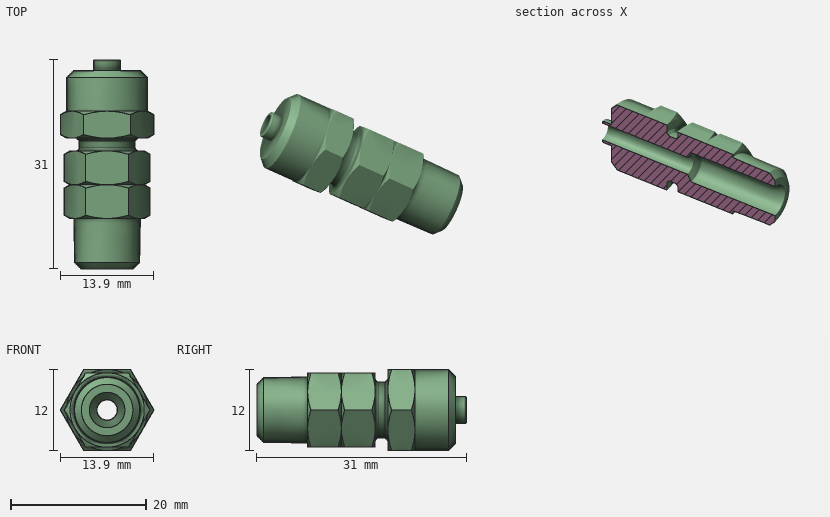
import cadquery as cq
import math

HEX_SIDES = 6
BODY_HEX_FLATS = 11.0
NUT_HEX_FLATS = 12.0
HEX_CHAMFER_ANGLE = 30.0
HEX_CLEARANCE = 1.0

SPIGOT_LENGTH = 7.5
BODY_HEX_LENGTH = 5.0
BODY_HEX_COUNT = 2
NECK_LENGTH = 1.89
NUT_HEX_LENGTH = 4.0
NUT_SLEEVE_LENGTH = 6.0
BARB_LENGTH = 1.6

body_hex_end = SPIGOT_LENGTH + BODY_HEX_COUNT * BODY_HEX_LENGTH
nut_start = body_hex_end + NECK_LENGTH
sleeve_start = nut_start + NUT_HEX_LENGTH
sleeve_end = sleeve_start + NUT_SLEEVE_LENGTH
barb_end = sleeve_end + BARB_LENGTH

SPIGOT_ROOT_DIAMETER = 9.85
SPIGOT_RIM_DIAMETER = 9.62
SPIGOT_CHAMFER = 1.0
NECK_DIAMETER = 8.3
NECK_FILLET = 0.5
NECK_FLARE = 0.4
SLEEVE_CHAMFER = 1.05
BARB_DIAMETER = 4.0
BARB_FILLET = 0.2

THROUGH_DIAMETER = 3.0
COUNTERBORE_DIAMETER = 5.25
COUNTERBORE_DEPTH = 15.0
DRILL_POINT_ANGLE = 118.0


def revolve_profile(profile):
    """Turn a closed (radius, axial) profile about the Y axis."""
    return profile.close().revolve(360, (0, 0, 0), (0, 1, 0))


def cylinder(diameter, start, end):
    return cq.Workplane("XZ", origin=(0, start, 0)).circle(diameter / 2).extrude(start - end)


def chamfered_hex(flats, start, end):
    """Hexagonal prism with flats facing +/-Z and both ends turned down to the flat width."""
    corner_diameter = flats / math.cos(math.pi / HEX_SIDES)
    prism = (
        cq.Workplane("XZ", origin=(0, start, 0))
        .polygon(HEX_SIDES, corner_diameter)
        .extrude(start - end)
    )
    radius = flats / 2
    outer = corner_diameter / 2 + HEX_CLEARANCE
    drop = (outer - radius) * math.tan(math.radians(HEX_CHAMFER_ANGLE))
    envelope = revolve_profile(
        cq.Workplane("XY")
        .moveTo(0, start)
        .lineTo(radius, start)
        .lineTo(outer, start + drop)
        .lineTo(outer, end - drop)
        .lineTo(radius, end)
        .lineTo(0, end)
    )
    return prism.intersect(envelope)


def tapered_spigot():
    root = SPIGOT_ROOT_DIAMETER / 2
    rim = SPIGOT_RIM_DIAMETER / 2
    return revolve_profile(
        cq.Workplane("XY")
        .lineTo(rim - SPIGOT_CHAMFER, 0)
        .lineTo(rim, SPIGOT_CHAMFER)
        .lineTo(root, SPIGOT_LENGTH)
        .lineTo(0, SPIGOT_LENGTH)
    )


def neck():
    """Neck with a concave fillet at the body and a 45 degree flare into the nut."""
    radius = NECK_DIAMETER / 2
    fillet_rim = radius + NECK_FILLET
    arc_offset = NECK_FILLET * (1 - math.sqrt(0.5))
    return revolve_profile(
        cq.Workplane("XY")
        .moveTo(0, body_hex_end)
        .lineTo(fillet_rim, body_hex_end)
        .threePointArc(
            (radius + arc_offset, body_hex_end + arc_offset),
            (radius, body_hex_end + NECK_FILLET),
        )
        .lineTo(radius, nut_start - NECK_FLARE)
        .lineTo(radius + NECK_FLARE, nut_start)
        .lineTo(0, nut_start)
    )


def bore():
    """Through hole with a counterbore from the spigot end and a drill-point floor."""
    wide = COUNTERBORE_DIAMETER / 2
    narrow = THROUGH_DIAMETER / 2
    cone = (wide - narrow) / math.tan(math.radians(DRILL_POINT_ANGLE / 2))
    return revolve_profile(
        cq.Workplane("XY")
        .lineTo(wide, 0)
        .lineTo(wide, COUNTERBORE_DEPTH)
        .lineTo(narrow, COUNTERBORE_DEPTH + cone)
        .lineTo(narrow, barb_end)
        .lineTo(0, barb_end)
    )


def nut_sleeve():
    sleeve = cylinder(NUT_HEX_FLATS, sleeve_start, sleeve_end)
    return sleeve.faces(">Y").chamfer(SLEEVE_CHAMFER)


def barb_tip():
    tip = cylinder(BARB_DIAMETER, sleeve_end, barb_end)
    return tip.faces(">Y").fillet(BARB_FILLET)


solid = tapered_spigot()
for index in range(BODY_HEX_COUNT):
    hex_start = SPIGOT_LENGTH + index * BODY_HEX_LENGTH
    solid = solid.union(chamfered_hex(BODY_HEX_FLATS, hex_start, hex_start + BODY_HEX_LENGTH))
solid = solid.union(neck())
solid = solid.union(chamfered_hex(NUT_HEX_FLATS, nut_start, sleeve_start))
solid = solid.union(nut_sleeve())
solid = solid.union(barb_tip())
result = solid.cut(bore())